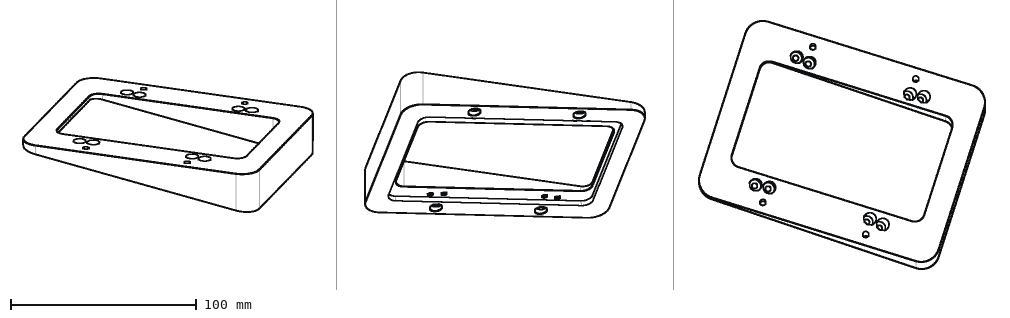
import cadquery as cq
import math

length = 135.0
width = 101.0
slope_angle = 8.0
thin_end = 4.0
corner_radius = 10.0
edge_chamfer = 0.3

window_length = 108.3
window_width = 60.1
window_radius = 5.3

recess_start = 10.8
recess_length = 114.2
recess_width = 78.0
recess_depth = 3.1
recess_radius = 5.3

screw_web = 1.0
screw_center = 65.1
screw_diameter = 3.0
screw_head_diameter = 6.6
screw_patterns = [(71.0, 73.2), (56.2, 71.5)]

mount_spacing_x = 58.0
mount_spacing_y = 89.1
mount_center_x = -1.5
mount_diameter = 3.2
mount_head_diameter = 6.3
mount_head_depth = 3.0

slope = math.radians(slope_angle)
thick_end = thin_end + length * math.tan(slope)
clearance = 2 * thick_end

slope_plane = cq.Plane(
    origin=(-length / 2, 0, -thin_end),
    xDir=(math.cos(slope), 0, -math.sin(slope)),
    normal=(math.sin(slope), 0, math.cos(slope)),
)


def upright_block(size_x, size_y, radius):
    """Block with rounded corners, reaching from the top to below the thick end."""
    block = cq.Workplane("XY").rect(size_x, size_y).extrude(-clearance)
    return block.edges("|Z").fillet(radius)


def wedge():
    """Rounded plate cut off along the slope."""
    below_slope = cq.Workplane(slope_plane).rect(4 * length, 2 * width).extrude(-2 * clearance)
    return upright_block(length, width, corner_radius).cut(below_slope)


def recess():
    """Rounded rectangular pocket rising from the underside."""
    pocket = (
        cq.Workplane(slope_plane)
        .center(recess_start + recess_length / 2, 0)
        .rect(recess_length, recess_width)
        .extrude(recess_depth)
    )
    return pocket.edges(cq.selectors.ParallelDirSelector(slope_plane.zDir)).fillet(recess_radius)


def screw_cylinders(pattern, diameter, start):
    """Four cylinders square to the slope, starting at a height above the underside."""
    return (
        cq.Workplane(slope_plane)
        .workplane(offset=start)
        .center(screw_center, 0)
        .rect(*pattern, forConstruction=True)
        .vertices()
        .circle(diameter / 2)
        .extrude(clearance)
    )


def mount_cylinders(diameter, x, top_z):
    """A mirrored pair of vertical cylinders hanging from top_z."""
    offset_y = mount_spacing_y / 2
    return (
        cq.Workplane("XY", origin=(x, 0, top_z))
        .pushPoints([(0, -offset_y), (0, offset_y)])
        .circle(diameter / 2)
        .extrude(-clearance)
    )


def facing_down(part, layer):
    """Faces parallel to the underside: layer 0 is the underside, layer 1 the recess floor."""
    return part.faces(cq.selectors.ParallelDirSelector(slope_plane.zDir)).faces(
        cq.selectors.CenterNthSelector(slope_plane.zDir, layer)
    )


mount_columns = [mount_center_x + side * mount_spacing_x / 2 for side in (-1, 1)]
body = wedge()
for column_x in mount_columns:
    underside_z = -thin_end - (column_x + length / 2) * math.tan(slope)
    body = body.cut(mount_cylinders(mount_head_diameter, column_x, underside_z + mount_head_depth))
body = facing_down(body, 0).edges().chamfer(edge_chamfer)

body = body.cut(recess()).cut(upright_block(window_length, window_width, window_radius))
body = body.faces(">Z").edges().chamfer(edge_chamfer)
window_rim = facing_down(body, 1).wires(cq.selectors.LengthNthSelector(0))
body = window_rim.edges().chamfer(edge_chamfer)

for column_x in mount_columns:
    body = body.cut(mount_cylinders(mount_diameter, column_x, 0))
for screw_pattern in screw_patterns:
    body = body.cut(screw_cylinders(screw_pattern, screw_diameter, 0))
    body = body.cut(screw_cylinders(screw_pattern, screw_head_diameter, recess_depth + screw_web))

result = body